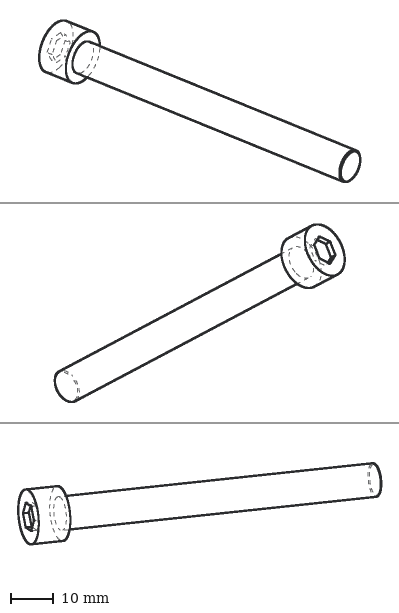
import cadquery as cq
import math

total_length = 88.0
head_diameter = 13.0
head_height = 8.0
shank_diameter = 8.0
tip_chamfer = 0.3
socket_across_flats = 6.0
socket_depth = 1.5

shank_length = total_length - head_height
socket_across_corners = socket_across_flats / math.cos(math.pi / 6)

head = cq.Workplane("YZ").circle(head_diameter / 2).extrude(head_height)

shank = (
    cq.Workplane("YZ", origin=(head_height, 0, 0))
    .circle(shank_diameter / 2)
    .extrude(shank_length)
    .faces(">X")
    .chamfer(tip_chamfer)
)

socket = cq.Workplane("YZ").polygon(6, socket_across_corners).extrude(socket_depth)

result = head.union(shank).cut(socket)